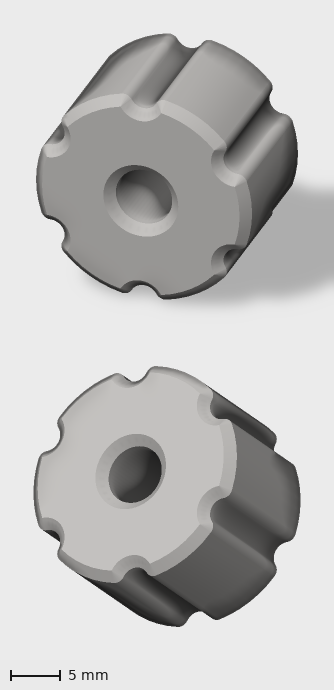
import cadquery as cq
import math

outer_diameter = 23.0
length = 16.0
bore_diameter = 6.0
groove_count = 6
groove_radius = 1.5
lip_radius = 1.01
end_chamfer = 1.0

outer_radius = outer_diameter / 2
groove_pitch = 360.0 / groove_count
first_groove_angle = 90.0


def fluted_cylinder():
    """Cylinder along Y with rounded-lip grooves running its full length."""
    body = cq.Workplane("XZ").circle(outer_radius).extrude(length / 2, both=True)
    grooves = (
        cq.Workplane("XZ")
        .polarArray(outer_radius, first_groove_angle, 360, groove_count)
        .circle(groove_radius)
        .extrude(length / 2, both=True)
    )
    return body.cut(grooves).edges(groove_lips()).fillet(lip_radius)


def groove_lips():
    """Selector for the straight edges where the grooves break the outer circle."""
    half_angle = math.degrees(2 * math.asin(groove_radius / (2 * outer_radius)))
    margin = 0.02
    boxes = []
    for index in range(groove_count):
        for side in (-1, 1):
            angle = math.radians(first_groove_angle + index * groove_pitch + side * half_angle)
            x = outer_radius * math.cos(angle)
            z = outer_radius * math.sin(angle)
            boxes.append(
                cq.selectors.BoxSelector((x - margin, -margin, z - margin), (x + margin, margin, z + margin))
            )
    selector = boxes[0]
    for box in boxes[1:]:
        selector = selector + box
    return selector


def bore():
    """Through hole along the Y axis."""
    return cq.Workplane("XZ").circle(bore_diameter / 2).extrude(length / 2, both=True)


result = fluted_cylinder().cut(bore()).faces("<Y or >Y").edges().chamfer(end_chamfer)